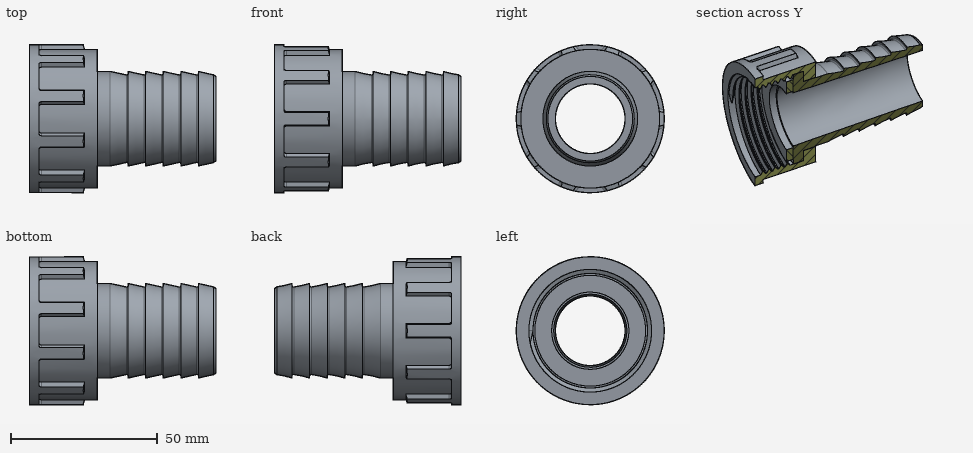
import cadquery as cq
import math


nut_length = 23.15
nut_radius = 23.65
collar_radius = 25.25
collar_length = 3.2
rib_count = 10
rib_end = 18.75
rib_base_width = 4.95
rib_draft = 15.0
rib_corner_radius = 0.9
rib_allowance = 0.65

thread_pitch = 2.31
thread_turns = 5.25
thread_minor_radius = 19.5
thread_major_radius = 20.9
thread_half_angle = 27.5
thread_crest_width = 0.4
thread_start = 1.35
thread_lead_angle = 12.0
thread_tip_width = 0.05
thread_root_overlap = 0.2

washer_front = 11.9
washer_thickness = 2.6
washer_outer_radius = 18.9
washer_inner_radius = 13.15

total_length = 63.6
flange_thickness = 3.8
neck_radius = 16.15
neck_end = 27.55
barb_count = 5
barb_pitch = 6.0
last_barb = 57.55
barb_root_radius = 14.8
barb_root_fillet = 0.45
tip_chamfer_start = 62.65
tip_chamfer_radius = 15.0
tip_radius = 14.45
bore_inlet_radius = 12.45
bore_outlet_radius = 11.8

washer_back = washer_front + washer_thickness
flange_back = washer_back + flange_thickness
first_barb = last_barb - (barb_count - 1) * barb_pitch


def revolve_about_x(outline):
    """Solid of revolution about X from a closed outline of (x, radius) points."""
    return cq.Workplane("XY").polyline(outline).close().revolve(360, (0, 0, 0), (1, 0, 0))


def make_rough_rib():
    """Rib on top of the nut, drafted at its sides and free end, with rounded corners at the collar."""
    base_height = nut_radius - rib_allowance
    height = collar_radius + rib_allowance - base_height
    draft_widening = rib_allowance * math.tan(math.radians(rib_draft))
    base_length = rib_end + draft_widening
    base_width = rib_base_width + 2 * draft_widening
    rib = (
        cq.Workplane("XY", origin=(base_length / 2, 0, base_height))
        .rect(base_length, base_width)
        .extrude(height, taper=rib_draft)
    )
    collar_piece = cq.Workplane("XY", origin=(0, 0, base_height)).box(
        collar_length, 2 * base_width, height, centered=(False, True, False)
    )
    margin = 0.05
    collar_back = cq.selectors.BoxSelector(
        (collar_length - margin, -base_width, base_height),
        (collar_length + margin, base_width, base_height + height),
    )
    corners = rib.union(collar_piece).edges(collar_back).edges("not(|X or |Y or |Z)")
    return corners.fillet(rib_corner_radius)


def ridge_section(crest_radius, crest_width):
    """Trapezoid of the thread ridge in the XZ plane, rooted slightly inside the bore wall."""
    root_radius = thread_major_radius + thread_root_overlap
    half_crest = crest_width / 2
    half_root = half_crest + (root_radius - crest_radius) * math.tan(math.radians(thread_half_angle))
    outline = [
        (root_radius, -half_root),
        (crest_radius, -half_crest),
        (crest_radius, half_crest),
        (root_radius, half_root),
    ]
    return cq.Workplane("XZ").polyline(outline).close()


def make_thread_ridge():
    """Right-hand helical ridge with a pointed start, made about Z from +X and then laid along X."""
    section = ridge_section(thread_minor_radius, thread_crest_width)
    start_wire = section.wires().val()
    helix = cq.Wire.makeHelix(thread_pitch, thread_turns * thread_pitch, thread_minor_radius)
    turns = section.sweep(cq.Workplane(helix), isFrenet=True)

    tip = ridge_section(thread_major_radius, thread_tip_width)
    tip_wire = tip.rotate((0, 0, 0), (0, 0, 1), -thread_lead_angle).wires().val()
    pointed_start = cq.Solid.makeLoft([start_wire, tip_wire], True)
    ridge = turns.union(cq.Workplane(pointed_start))

    laid_along_x = ridge.rotate((0, 0, 0), (0, 1, 0), 90).rotate((0, 0, 0), (1, 0, 0), 90)
    return laid_along_x.translate((thread_start, 0, 0))


def make_nut():
    """Union nut: ribbed outside, threaded bore, and a back wall that holds the tail's flange."""
    rough_radius = collar_radius + 2 * rib_allowance
    nut = revolve_about_x(
        [
            (0, thread_major_radius),
            (0, rough_radius),
            (collar_length, rough_radius),
            (collar_length, nut_radius),
            (nut_length, nut_radius),
            (nut_length, neck_radius),
            (flange_back, neck_radius),
            (flange_back, thread_major_radius),
        ]
    )
    rib = make_rough_rib()
    rib_step = 360 / rib_count
    for index in range(rib_count):
        nut = nut.union(rib.rotate((0, 0, 0), (1, 0, 0), (index + 0.5) * rib_step))
    nut = nut.intersect(cq.Workplane("YZ").circle(collar_radius).extrude(nut_length))
    return nut.union(make_thread_ridge())


def make_washer():
    """Flat ring that lies against the tail's flange."""
    return (
        cq.Workplane("YZ", origin=(washer_front, 0, 0))
        .circle(washer_outer_radius)
        .circle(washer_inner_radius)
        .extrude(washer_thickness)
    )


def make_tail():
    """Hose tail: flange inside the nut, neck, barbs and a slightly tapered bore."""
    outline = [
        (washer_back, bore_inlet_radius),
        (washer_back, thread_major_radius),
        (flange_back, thread_major_radius),
        (flange_back, neck_radius),
        (neck_end, neck_radius),
    ]
    for index in range(barb_count):
        barb = first_barb + index * barb_pitch
        outline += [(barb, barb_root_radius), (barb, neck_radius)]
    outline += [
        (tip_chamfer_start, tip_chamfer_radius),
        (total_length, tip_radius),
        (total_length, bore_outlet_radius),
    ]
    tail = revolve_about_x(outline)
    circles = tail.edges("%CIRCLE")
    roots = circles.filter(lambda edge: math.isclose(edge.radius(), barb_root_radius, abs_tol=0.005))
    return roots.fillet(barb_root_fillet)


nut = make_nut()
washer = make_washer()
tail = make_tail()

result = cq.Compound.makeCompound([nut.solids().val(), washer.val(), tail.val()])